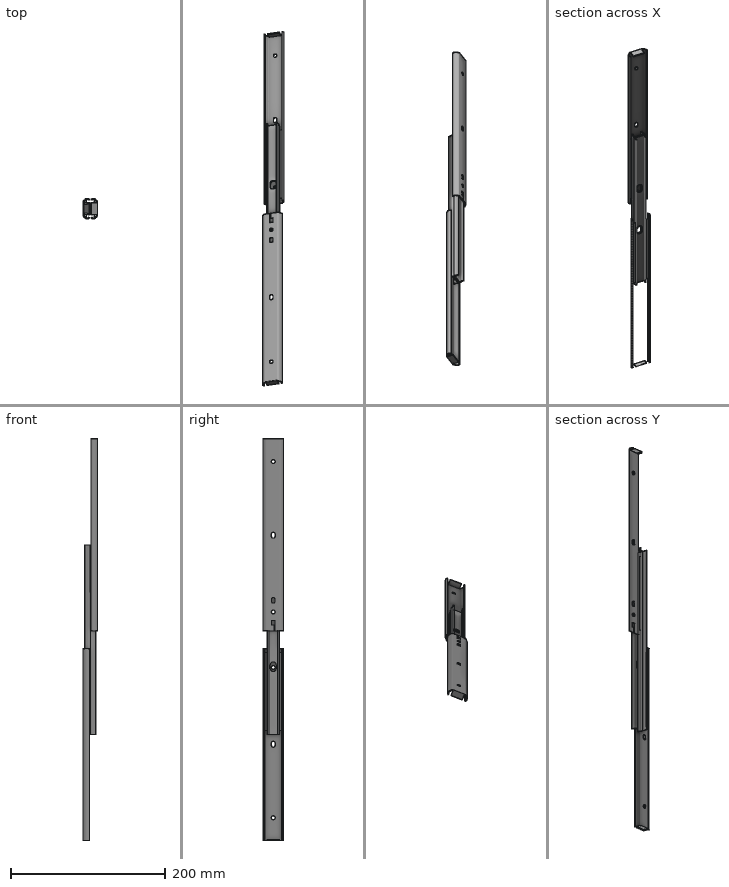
import cadquery as cq
import math

HALF_LENGTH = 261.0
DEPTH = 19.5
HALF_DEPTH = DEPTH / 2
HALF_WIDTH = 13.5
RAIL_END_Z = 11.5
CHANNEL_HALF_LENGTH = 123.0
SHEET = 1.5

RACEWAY_X = 3.9
RACEWAY_RADIUS = 3.9
RACEWAY_Y = HALF_WIDTH - RACEWAY_RADIUS
LIP_ANGLE = 145
BEND_RADIUS = 2.5
SLOPE_ANGLE = 45
BEND_X = HALF_DEPTH - BEND_RADIUS
BEND_Y = (RACEWAY_X + RACEWAY_Y + (RACEWAY_RADIUS - BEND_RADIUS) * math.sqrt(2)) - BEND_X

TAB_HALF_WIDTH = 8.0
TAB_EDGE_X = 1.0
TAB_THICKNESS = 1.85

HOLE_DIAMETER = 4.5
ROUND_HOLE_Z = (231.5, 36.0)
SLOT_LENGTH = 7.5
SLOT_Z = (136.0, 51.0)

NOTCH_HALF_WIDTH = 2.35
NOTCH_SLIT = 1.5
NOTCH_DEPTH = 13.5
NOTCH_FOOT = 6.5

CHANNEL_WIDTH = 16.0
CHANNEL_BEND = 2.0
CHANNEL_BEND_Y = CHANNEL_WIDTH / 2 - CHANNEL_BEND
GROOVE_RADIUS = 4.5
GROOVE_ANGLE = 62
CHANNEL_LIP_X = 7.5
WINDOW_WIDTH = 8.0
WINDOW_LENGTH = 12.5
WINDOW_Z = 35.0

CAGE_SHEET = 0.65
CAGE_X = 5.0
CAGE_BOTTOM_Y = 8.0
CAGE_TOP_Y = 11.0
CAGE_END_GAP = 5.0


def polar(center, radius, angle):
    """Point on a circle at an angle in degrees."""
    a = math.radians(angle)
    return (center[0] + radius * math.cos(a), center[1] + radius * math.sin(a))


def rail_profile():
    """Half section of the outer rail, from the XZ plane round to the +Y lip and back."""
    bend = (BEND_X, BEND_Y)
    race = (RACEWAY_X, RACEWAY_Y)
    bend_in = BEND_RADIUS - SHEET
    race_in = RACEWAY_RADIUS - SHEET
    mid_bend = SLOPE_ANGLE / 2
    mid_race = (SLOPE_ANGLE + LIP_ANGLE) / 2
    return (
        cq.Workplane("XY")
        .moveTo(HALF_DEPTH, 0)
        .lineTo(HALF_DEPTH, BEND_Y)
        .threePointArc(polar(bend, BEND_RADIUS, mid_bend), polar(bend, BEND_RADIUS, SLOPE_ANGLE))
        .lineTo(*polar(race, RACEWAY_RADIUS, SLOPE_ANGLE))
        .threePointArc(polar(race, RACEWAY_RADIUS, mid_race), polar(race, RACEWAY_RADIUS, LIP_ANGLE))
        .lineTo(*polar(race, race_in, LIP_ANGLE))
        .threePointArc(polar(race, race_in, mid_race), polar(race, race_in, SLOPE_ANGLE))
        .lineTo(*polar(bend, bend_in, SLOPE_ANGLE))
        .threePointArc(polar(bend, bend_in, mid_bend), (HALF_DEPTH - SHEET, BEND_Y))
        .lineTo(HALF_DEPTH - SHEET, 0)
        .close()
    )


def channel_profile():
    """Half section of the inner channel, from the XZ plane round to the +Y lip and back."""
    bend = (CHANNEL_BEND, CHANNEL_BEND_Y)
    groove = polar(bend, CHANNEL_BEND + GROOVE_RADIUS, GROOVE_ANGLE)
    bend_in = CHANNEL_BEND - SHEET
    groove_in = GROOVE_RADIUS + SHEET
    lip_y = groove[1] - GROOVE_RADIUS
    mid_bend = (180 + GROOVE_ANGLE) / 2
    start = 180 + GROOVE_ANGLE
    mid_groove = (start + 270) / 2
    return (
        cq.Workplane("XY")
        .moveTo(0, 0)
        .lineTo(0, CHANNEL_BEND_Y)
        .threePointArc(polar(bend, CHANNEL_BEND, mid_bend), polar(bend, CHANNEL_BEND, GROOVE_ANGLE))
        .threePointArc(polar(groove, GROOVE_RADIUS, mid_groove), (groove[0], lip_y))
        .lineTo(CHANNEL_LIP_X, lip_y)
        .lineTo(CHANNEL_LIP_X, lip_y - SHEET)
        .lineTo(groove[0], lip_y - SHEET)
        .threePointArc(polar(groove, groove_in, mid_groove), polar(groove, groove_in, start))
        .threePointArc(polar(bend, bend_in, mid_bend), (SHEET, CHANNEL_BEND_Y))
        .lineTo(SHEET, 0)
        .close()
    )


def extrude_mirrored(profile, bottom, top):
    """Extrude a half section between two heights and mirror it across the XZ plane."""
    half = profile.extrude(top - bottom).translate((0, 0, bottom))
    return half.union(half.mirror("XZ")).clean()


def web_slots(width, length, heights):
    """Upright obround cutters through the web, or round ones where length equals width."""
    points = [(0, z) for z in heights]
    sketch = cq.Workplane("YZ").pushPoints(points)
    if length > width:
        sketch = sketch.slot2D(length, width, 90)
    else:
        sketch = sketch.circle(width / 2)
    return sketch.extrude(HALF_DEPTH)


def end_tab():
    """Plate bent in from the web across the top end of the upper rail."""
    length = HALF_DEPTH - TAB_EDGE_X
    tab = cq.Workplane("XY").box(length, 2 * TAB_HALF_WIDTH, TAB_THICKNESS, centered=(False, True, False))
    return tab.translate((TAB_EDGE_X, 0, HALF_LENGTH - TAB_THICKNESS))


def notch():
    """L-shaped cutter: a slit from the rail end with a wider foot at its closed end."""
    slit = cq.Workplane("XY").box(HALF_DEPTH, NOTCH_SLIT, NOTCH_DEPTH, centered=False)
    slit = slit.translate((0, NOTCH_HALF_WIDTH - NOTCH_SLIT, RAIL_END_Z))
    foot = cq.Workplane("XY").box(HALF_DEPTH, 2 * NOTCH_HALF_WIDTH, NOTCH_FOOT, (False, True, False))
    return slit.union(foot.translate((0, 0, RAIL_END_Z + NOTCH_DEPTH - NOTCH_FOOT)))


def outer_rail():
    rail = extrude_mirrored(rail_profile(), RAIL_END_Z, HALF_LENGTH).union(end_tab())
    rail = rail.cut(web_slots(HOLE_DIAMETER, HOLE_DIAMETER, ROUND_HOLE_Z))
    rail = rail.cut(web_slots(HOLE_DIAMETER, SLOT_LENGTH, SLOT_Z))
    return rail.cut(notch())


def inner_channel():
    channel = extrude_mirrored(channel_profile(), -CHANNEL_HALF_LENGTH, CHANNEL_HALF_LENGTH)
    return channel.cut(web_slots(WINDOW_WIDTH, WINDOW_LENGTH, (WINDOW_Z, -WINDOW_Z)))


def ball_cage(side):
    """Cage strip in the raceway on the +Y side (side = 1) or the -Y side (side = -1)."""
    bottom = RAIL_END_Z + CAGE_END_GAP
    length = CHANNEL_HALF_LENGTH - CAGE_END_GAP - bottom
    strip = cq.Workplane("XY").box(CAGE_SHEET, CAGE_TOP_Y - CAGE_BOTTOM_Y, length)
    return strip.translate((CAGE_X, side * (CAGE_TOP_Y + CAGE_BOTTOM_Y) / 2, bottom + length / 2))


bodies = []
for turn in (0, 180):
    for body in (outer_rail(), inner_channel(), ball_cage(1), ball_cage(-1)):
        bodies.append(body.rotate((0, 0, 0), (0, 1, 0), turn).val())

result = cq.Compound.makeCompound(bodies)